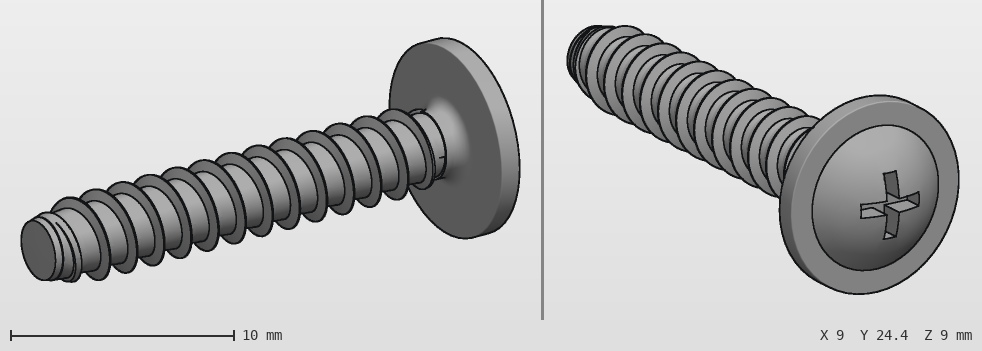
import cadquery as cq
import math


shank_length = 22.0
head_height = 2.44
flange_radius = 4.5
flange_thickness = 1.0
flange_edge_radius = 0.06
dome_base_radius = 3.36
dome_height = head_height - flange_thickness

recess_span = 3.1
recess_width = 0.65
recess_depth = 1.2

neck_radius = 1.57
neck_length = 1.0
neck_fillet = 0.6

core_radius = 1.457
tip_radius = 1.37
tip_taper_length = 0.45
tip_cone_height = 0.04

major_radius = 2.0
pitch = 1.463
thread_first_depth = 0.44
thread_turns = 15.5
crest_half_width = 0.03
root_radius = 1.52
root_half_width = 0.19
upper_skirt_reach = 0.52
lower_skirt_reach = 0.93
buried_radius = 1.45
lead_in_radius = 1.68
lead_in_end = 2.4
envelope_clearance = 0.2
run_out_start_offset = 2.25
run_out_end_offset = 0.1
run_out_start = shank_length - run_out_start_offset
run_out_end = shank_length - run_out_end_offset


def make_head():
    """Domed cap standing on a round flange."""
    sphere_radius = (dome_base_radius**2 + dome_height**2) / (2 * dome_height)
    corner_distance = recess_width / math.sqrt(2)
    corner_drop = sphere_radius - math.sqrt(sphere_radius**2 - corner_distance**2)
    apex = -head_height - corner_drop
    sphere = cq.Workplane("XY").sphere(sphere_radius).translate((0, 0, apex + sphere_radius))
    cap_limit = (
        cq.Workplane("XY")
        .workplane(offset=-flange_thickness)
        .circle(flange_radius)
        .extrude(-sphere_radius)
    )
    flange = (
        cq.Workplane("XY")
        .circle(flange_radius)
        .extrude(-flange_thickness)
        .edges()
        .fillet(flange_edge_radius)
    )
    return flange.union(sphere.intersect(cap_limit))


def make_shank():
    """Filleted neck and plain core as one turned profile (radius, depth)."""
    middle_offset = neck_fillet * (1 - math.sqrt(0.5))
    profile = (
        cq.Workplane("XZ")
        .lineTo(neck_radius + neck_fillet, 0)
        .threePointArc((neck_radius + middle_offset, middle_offset), (neck_radius, neck_fillet))
        .lineTo(neck_radius, neck_length)
        .lineTo(core_radius, neck_length)
        .lineTo(core_radius, shank_length - tip_taper_length)
        .lineTo(tip_radius, shank_length - tip_cone_height)
        .lineTo(0, shank_length)
        .close()
    )
    return profile.revolve(360, (0, 0, 0), (0, 1, 0))


def make_recess():
    """Two crossed slots sunk into the top of the dome."""
    floor = cq.Workplane("XY").workplane(offset=recess_depth - head_height)
    height = -2 * recess_depth
    along_x = floor.rect(recess_span, recess_width).extrude(height)
    along_y = floor.rect(recess_width, recess_span).extrude(height)
    return along_x.union(along_y)


def make_thread():
    """Helical ridge, trimmed by a turned envelope that fades it in and out."""
    helix = cq.Wire.makeHelix(pitch, pitch * thread_turns, core_radius)
    ridge = (
        cq.Workplane("XZ")
        .moveTo(buried_radius, -upper_skirt_reach)
        .lineTo(root_radius, -root_half_width)
        .lineTo(major_radius, -crest_half_width)
        .lineTo(major_radius, crest_half_width)
        .lineTo(root_radius, root_half_width)
        .lineTo(buried_radius, lower_skirt_reach)
        .close()
        .sweep(cq.Workplane(helix), isFrenet=True)
        .translate((0, 0, thread_first_depth))
    )
    clearance_radius = major_radius + envelope_clearance
    lead_in_slope = (major_radius - lead_in_radius) / (lead_in_end - neck_length)
    clear_depth = neck_length + (clearance_radius - lead_in_radius) / lead_in_slope
    envelope = (
        cq.Workplane("XZ")
        .moveTo(0, neck_length)
        .lineTo(lead_in_radius, neck_length)
        .lineTo(clearance_radius, clear_depth)
        .lineTo(clearance_radius, run_out_start)
        .lineTo(major_radius, run_out_start)
        .lineTo(tip_radius, run_out_end)
        .lineTo(0, run_out_end)
        .close()
        .revolve(360, (0, 0, 0), (0, 1, 0))
    )
    return ridge.intersect(envelope)


screw = make_head().union(make_shank()).union(make_thread()).cut(make_recess())
result = screw.rotate((0, 0, 0), (1, 0, 0), 90)